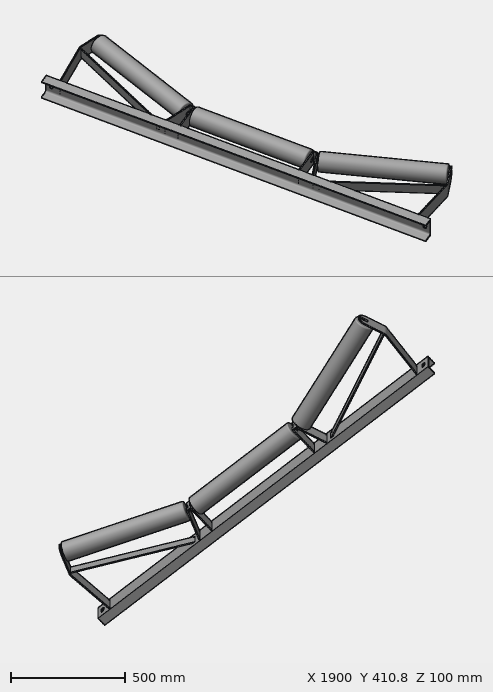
import cadquery as cq
import math

BEAM_LENGTH = 1900.0
BEAM_HEIGHT = 100.0
BEAM_DEPTH = 45.0
WEB_THICKNESS = 5.0
FLANGE_THICKNESS = 8.0
ROOT_RADIUS = 10.0
TOE_RADIUS = 4.0
SLOT_END_DISTANCE = 27.0
SLOT_WIDTH = 17.0
SLOT_HEIGHT = 30.0

ROLLER_LENGTH = 570.0
ROLLER_RADIUS = 45.0
ROLLER_EDGE_RADIUS = 5.0
SHAFT_RADIUS = 10.0
MIDDLE_ROLLER_Y = 167.0
SIDE_ROLLER_TILT = 20.0
SIDE_ROLLER_INNER_END = (329.0, 175.0)

PLATE_THICKNESS = 6.0
PLATE_WIDTH = 75.0
ROLLER_GAP = 6.6
BRIDGE_TOP_Y = 190.0
OUTER_FOOT_X = 887.0
OUTER_BEND_DROP = 99.0
OUTER_BEND_RADIUS = 25.0
BRACE_FOOT_X = 405.0
BRACE_WIDTH = 50.0

TILT = math.radians(SIDE_ROLLER_TILT)
ALONG = (math.cos(TILT), math.sin(TILT))
ACROSS = (-math.sin(TILT), math.cos(TILT))
X_AXIS = (1, 0)
SHAFT_OVERHANG = ROLLER_GAP + PLATE_THICKNESS


def shifted(point, direction, distance):
    """Point moved by a distance along a unit direction in the XY plane."""
    return (point[0] + distance * direction[0], point[1] + distance * direction[1])


def direction_between(start, end):
    """Unit direction from one point to another."""
    length = math.dist(start, end)
    return ((end[0] - start[0]) / length, (end[1] - start[1]) / length)


def crossing(point_a, direction_a, point_b, direction_b):
    """Point where two straight lines in the XY plane cross."""
    gap = (point_b[0] - point_a[0], point_b[1] - point_a[1])
    turn = direction_a[0] * direction_b[1] - direction_a[1] * direction_b[0]
    distance = (gap[0] * direction_b[1] - gap[1] * direction_b[0]) / turn
    return shifted(point_a, direction_a, distance)


def right_hand_face(path, start_cut, end_cut):
    """Mitred path one plate thickness to the right of a path, its ends lying on the two cut directions."""
    lines = [(path[0], start_cut)]
    for start, end in zip(path, path[1:]):
        run = direction_between(start, end)
        lines.append((shifted(start, (run[1], -run[0]), PLATE_THICKNESS), run))
    lines.append((path[-1], end_cut))
    return [crossing(*first, *second) for first, second in zip(lines, lines[1:])]


def flat_bar(path, opposite_face, width):
    """Flat bar between two faces, centred on Z = 0."""
    outline = cq.Workplane("XY").polyline(path + opposite_face[::-1]).close()
    return outline.extrude(width / 2, both=True)


def edge_near(point):
    """Selector for the Z-parallel edge closest to a point in the XY plane."""
    return cq.selectors.NearestToPointSelector((*point, 0))


def axis_plane(point, direction):
    """Plane square to a roller axis, with its local Y pointing up the bracket."""
    return cq.Plane(origin=(*point, 0), xDir=(0, 0, -1), normal=(*direction, 0))


def shaft_slot(point, direction):
    """Cutter for a slot in a bracket plate: round at the shaft and open at the top."""
    plane = axis_plane(point, direction)
    seat = cq.Workplane(plane).circle(SHAFT_RADIUS).extrude(PLATE_THICKNESS)
    mouth = (
        cq.Workplane(plane)
        .rect(2 * SHAFT_RADIUS, PLATE_WIDTH)
        .extrude(PLATE_THICKNESS)
        .translate((*shifted((0, 0), (-direction[1], direction[0]), PLATE_WIDTH / 2), 0))
    )
    return seat.union(mouth)


def make_beam():
    """Channel with a slotted mounting hole through the web near each end."""
    inner_height = BEAM_HEIGHT - 2 * FLANGE_THICKNESS
    inner_depth = BEAM_DEPTH - WEB_THICKNESS
    beam = cq.Workplane("XY").box(BEAM_LENGTH, BEAM_DEPTH, BEAM_HEIGHT, centered=(True, False, True))
    hollow = cq.Workplane("XY").box(BEAM_LENGTH, inner_depth, inner_height, centered=(True, False, True))
    hollow = hollow.edges("|X and >Y").fillet(ROOT_RADIUS)
    beam = beam.cut(hollow)
    toes = cq.selectors.BoxSelector(
        (-BEAM_LENGTH, -TOE_RADIUS, -inner_height / 2 - TOE_RADIUS),
        (BEAM_LENGTH, TOE_RADIUS, inner_height / 2 + TOE_RADIUS),
    )
    beam = beam.edges("|X").edges(toes).fillet(TOE_RADIUS)
    hole_x = BEAM_LENGTH / 2 - SLOT_END_DISTANCE
    holes = (
        cq.Workplane("XZ")
        .pushPoints([(-hole_x, 0), (hole_x, 0)])
        .slot2D(SLOT_HEIGHT, SLOT_WIDTH, 90)
        .extrude(-BEAM_DEPTH)
    )
    return beam.cut(holes)


def make_roller(start, direction):
    """Tube with rounded end edges and a shaft that reaches through the brackets."""
    plane = axis_plane(start, direction)
    tube = cq.Workplane(plane).circle(ROLLER_RADIUS).extrude(ROLLER_LENGTH)
    tube = tube.edges("%CIRCLE").fillet(ROLLER_EDGE_RADIUS)
    shaft = (
        cq.Workplane(plane)
        .workplane(offset=-SHAFT_OVERHANG)
        .circle(SHAFT_RADIUS)
        .extrude(ROLLER_LENGTH + 2 * SHAFT_OVERHANG)
    )
    return tube.union(shaft)


def make_inner_bracket():
    """Bar bent over a short bridge, carrying the middle roller and the low end of a side roller."""
    middle_face_x = ROLLER_LENGTH / 2 + ROLLER_GAP
    side_face = shifted(SIDE_ROLLER_INNER_END, ALONG, -ROLLER_GAP)
    path = [
        (middle_face_x, BEAM_DEPTH),
        (middle_face_x, BRIDGE_TOP_Y),
        crossing(side_face, ACROSS, (0, BRIDGE_TOP_Y), X_AXIS),
        crossing(side_face, ACROSS, (0, BEAM_DEPTH), X_AXIS),
    ]
    bracket = flat_bar(path, right_hand_face(path, X_AXIS, X_AXIS), PLATE_WIDTH)
    middle_slot = shaft_slot((middle_face_x, MIDDLE_ROLLER_Y), X_AXIS)
    side_slot = shaft_slot(shifted(side_face, ALONG, -PLATE_THICKNESS), ALONG)
    return bracket.cut(middle_slot).cut(side_slot)


roller_outer_end = shifted(SIDE_ROLLER_INNER_END, ALONG, ROLLER_LENGTH)
outer_bracket_shaft = shifted(roller_outer_end, ALONG, SHAFT_OVERHANG)
outer_bracket_bend = shifted(outer_bracket_shaft, ACROSS, -OUTER_BEND_DROP)
outer_bracket_path = [outer_bracket_shaft, outer_bracket_bend, (OUTER_FOOT_X, BEAM_DEPTH)]
outer_bracket_inside = right_hand_face(outer_bracket_path, ALONG, X_AXIS)


def make_outer_bracket():
    """Bent bar with a round, slotted head that carries the high end of a side roller."""
    head_point, inside_bend = outer_bracket_inside[:2]
    bracket = flat_bar(outer_bracket_path, outer_bracket_inside, PLATE_WIDTH)
    bracket = bracket.edges("|Z").edges(edge_near(outer_bracket_bend)).fillet(OUTER_BEND_RADIUS)
    bracket = bracket.edges("|Z").edges(edge_near(inside_bend)).fillet(OUTER_BEND_RADIUS - PLATE_THICKNESS)
    head = cq.Workplane(axis_plane(head_point, ALONG)).circle(PLATE_WIDTH / 2).extrude(PLATE_THICKNESS)
    return bracket.union(head).cut(shaft_slot(head_point, ALONG))


def make_brace(outer_bracket):
    """Straight bar from the bend of the outer bracket down to the beam, trimmed to the rounded bend."""
    head, inside_bend = outer_bracket_inside[:2]
    underside = [(BRACE_FOOT_X, BEAM_DEPTH), inside_bend]
    upper_side = right_hand_face(underside[::-1], direction_between(inside_bend, head), X_AXIS)
    return flat_bar(underside, upper_side[::-1], BRACE_WIDTH).cut(outer_bracket)


beam = make_beam()
middle_roller = make_roller((-ROLLER_LENGTH / 2, MIDDLE_ROLLER_Y), X_AXIS)
bodies = [beam.val(), middle_roller.val()]

outer_bracket = make_outer_bracket()
right_side_parts = [
    make_roller(SIDE_ROLLER_INNER_END, ALONG),
    make_inner_bracket(),
    outer_bracket,
    make_brace(outer_bracket),
]
for part in right_side_parts:
    bodies.append(part.val())
    bodies.append(part.mirror("YZ").val())

result = cq.Compound.makeCompound(bodies)